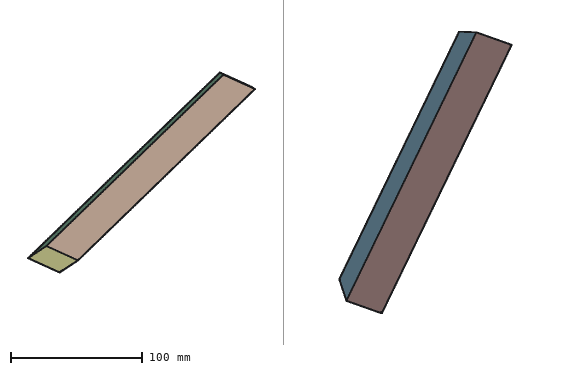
import cadquery as cq

length = 259.0
overall_width = 39.4
height = 10.0
slope_run = height

half_length = length / 2
half_width = overall_width / 2

section = [
    (-half_width, 0),
    (half_width - slope_run, 0),
    (half_width, height),
    (-half_width + slope_run, height),
]
leaning_bar = (
    cq.Workplane("XZ")
    .polyline(section)
    .close()
    .extrude(half_length, both=True)
)

end_profile = [
    (-half_length, 0),
    (half_length, 0),
    (half_length - slope_run, height),
    (-half_length + slope_run, height),
]
end_slopes = (
    cq.Workplane("YZ")
    .polyline(end_profile)
    .close()
    .extrude(overall_width, both=True)
)

result = leaning_bar.intersect(end_slopes)